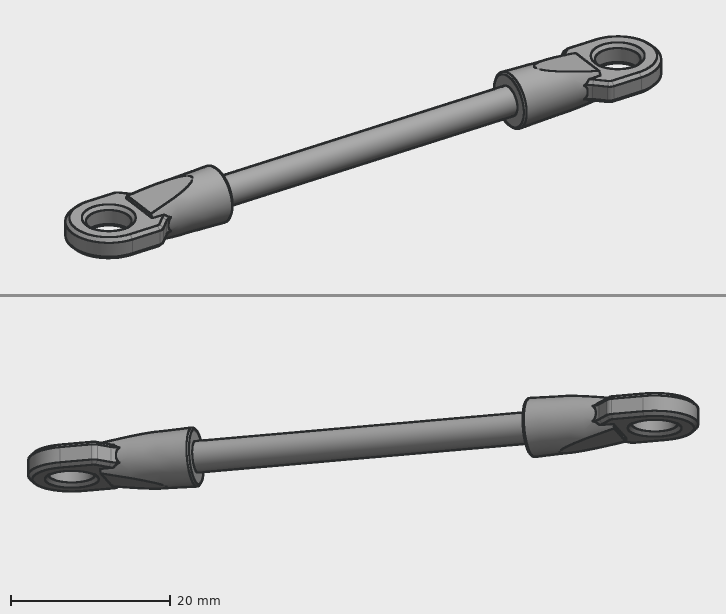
import cadquery as cq

length = 87.0
rod_radius = 2.0

eye_radius = 5.5
eye_thickness = 3.05
eye_chamfer = 0.5
hole_radius = 2.9
hole_chamfer = 0.5
eye_center_y = length / 2 - eye_radius

shoulder_y = 33.5
neck_y = 31.3
neck_half_width = 3.3
shoulder_round = 1.05
neck_round = 1.7
embed_y = 28.7

sleeve_base_y = 21.75
sleeve_tip_y = 33.5
sleeve_base_radius = 3.7
sleeve_tip_radius = 3.4
sleeve_chamfer = 0.3
wedge_start_y = 25.7
wedge_tip_height = 2.0


def make_eye():
    """Eye plate with rounded end, sloping shoulders and chamfered rims."""
    plate = (
        cq.Workplane("XY")
        .workplane(offset=-eye_thickness / 2)
        .moveTo(-eye_radius, eye_center_y)
        .threePointArc((0, length / 2), (eye_radius, eye_center_y))
        .lineTo(eye_radius, shoulder_y)
        .lineTo(neck_half_width, neck_y)
        .lineTo(neck_half_width, embed_y)
        .lineTo(-neck_half_width, embed_y)
        .lineTo(-neck_half_width, neck_y)
        .lineTo(-eye_radius, shoulder_y)
        .close()
        .extrude(eye_thickness)
    )
    shoulder_corners = [(side * eye_radius, shoulder_y, 0) for side in (-1, 1)]
    neck_corners = [(side * neck_half_width, neck_y, 0) for side in (-1, 1)]
    for corners, radius in ((shoulder_corners, shoulder_round), (neck_corners, neck_round)):
        for corner in corners:
            plate = plate.edges(cq.selectors.NearestToPointSelector(corner)).fillet(radius)
    plate = plate.faces("<Z or >Z").chamfer(eye_chamfer)

    half_thickness = eye_thickness / 2
    rim_radius = hole_radius + hole_chamfer
    hole = (
        cq.Workplane("YZ")
        .polyline([
            (0, -half_thickness),
            (rim_radius, -half_thickness),
            (hole_radius, hole_chamfer - half_thickness),
            (hole_radius, half_thickness - hole_chamfer),
            (rim_radius, half_thickness),
            (0, half_thickness),
        ])
        .close()
        .revolve(360, (0, 0), (0, 1))
        .translate((0, eye_center_y, 0))
    )
    return plate.cut(hole)


def make_sleeve():
    """Tapered sleeve trimmed by two planes that converge toward the eye."""
    taper = (sleeve_base_radius - sleeve_tip_radius) / (sleeve_tip_y - sleeve_base_y)
    wedge_start_height = sleeve_base_radius - taper * (wedge_start_y - sleeve_base_y)
    cone = (
        cq.Workplane("YZ")
        .polyline([
            (sleeve_base_y, 0),
            (sleeve_base_y, sleeve_base_radius - sleeve_chamfer),
            (sleeve_base_y + sleeve_chamfer, sleeve_base_radius),
            (sleeve_tip_y, sleeve_tip_radius),
            (sleeve_tip_y, 0),
        ])
        .close()
        .revolve(360, (0, 0), (1, 0))
    )
    envelope = (
        cq.Workplane("YZ")
        .polyline([
            (sleeve_base_y, -sleeve_base_radius),
            (wedge_start_y, -sleeve_base_radius),
            (wedge_start_y, -wedge_start_height),
            (sleeve_tip_y, -wedge_tip_height),
            (sleeve_tip_y, wedge_tip_height),
            (wedge_start_y, wedge_start_height),
            (wedge_start_y, sleeve_base_radius),
            (sleeve_base_y, sleeve_base_radius),
        ])
        .close()
        .extrude(sleeve_base_radius, both=True)
    )
    return cone.intersect(envelope)


def make_rod():
    """Round rod joining the two sleeves."""
    return cq.Workplane("XZ").circle(rod_radius).extrude(sleeve_base_y + sleeve_chamfer, both=True)


end = make_eye().union(make_sleeve())
opposite_end = end.mirror("XZ")
result = make_rod().union(end).union(opposite_end)